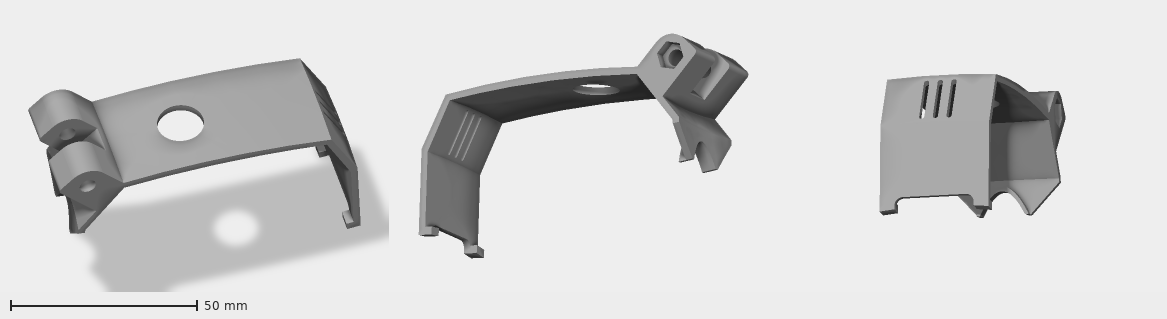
import cadquery as cq
import math

WIDTH = 30.1
HALF_WIDTH = WIDTH / 2
REAR_Y = 42.1
THROUGH = 168.3

REAR_BEND_OUT = (41.15, 24.0)
TOP_BEND_OUT = (33.8, 38.1)
CROWN_OUT = (3.0, 40.5)
FRONT_TOP_OUT = (-24.8, 39.2)
FRONT_BEND_OUT = (-36.9, 24.1)
REAR_BEND_IN = (39.3, 23.0)
TOP_BEND_IN = (32.6, 36.4)
CROWN_IN = (3.0, 38.4)
FRONT_TOP_IN = (-24.15, 37.3)
FRONT_BEND_IN = (-35.0, 23.5)
REAR_THICKNESS = 1.9
LEG_BOTTOM_Z = -0.8
TOOTH_BLANK_Z = 12.6
FRONT_TILT = 6.0

REAR_BEND_SHIFT = (0.25, 0.4)
TOP_BEND_SHIFT = (0.2, 0.5)
CROWN_SHIFT = (0.0, 0.2)
FRONT_TOP_SHIFT = (0.3, -0.25)
FRONT_BEND_SHIFT = (1.3, -0.2)

OPENING_RADIUS = 6.3
OPENING_Y = -3.95

SLOT_LENGTH = 13.1
SLOT_WIDTH = 1.4
SLOT_PITCH = 3.8
SLOT_CENTER = (0, 37.8, 31.2)

PIN_Y = -34.3
PIN_Z = 41.3
LUG_ANGLE = 46.7
LUG_RADIUS = 5.9
LUG_CORNER_RADIUS = 1.3
LUG_ROOT_TOP = 9.7
LUG_ROOT_BOTTOM = 10.9
LUG_GAP = 8.25
PIN_RADIUS = 2.3
NUT_CIRCLE = 8.25
NUT_DEPTH = 3.4

TIP_Y = -36.9
TIP_Z = 14.1
TOOTH_HEIGHT = 8.4
TIP_OUTSIDE_X = 7.2
TIP_INSIDE_X = 6.2
ARCH_HEIGHT = 6.4
LIP_THICKNESS = 1.35
LIP_END = 4.2
LIP_ROOT = 1.5

FOOT_INSIDE_X = 10.9
NOTCH_HEIGHT = 3.95
NOTCH_RADIUS = 2.2
FOOT_END_Y = 38.2
FOOT_THICKNESS = 2.2
FOOT_RISE = 0.4
FOOT_TILT = -4.3


def strap_section(x, amount):
    """Closed strap profile at x; amount is 0 at the side edges and 1 in the middle."""

    def shifted(point, shift):
        return cq.Vector(x, point[0] + amount * shift[0], point[1] + amount * shift[1])

    lean = math.tan(math.radians(FRONT_TILT))
    tooth_out = (FRONT_BEND_OUT[0] - lean * (FRONT_BEND_OUT[1] - TOOTH_BLANK_Z), TOOTH_BLANK_Z)
    tooth_in = (FRONT_BEND_IN[0] - lean * (FRONT_BEND_IN[1] - TOOTH_BLANK_Z), TOOTH_BLANK_Z)

    leg_out = cq.Vector(x, REAR_Y, LEG_BOTTOM_Z)
    rear_out = shifted(REAR_BEND_OUT, REAR_BEND_SHIFT)
    top_out = shifted(TOP_BEND_OUT, TOP_BEND_SHIFT)
    crown_out = shifted(CROWN_OUT, CROWN_SHIFT)
    front_out = shifted(FRONT_TOP_OUT, FRONT_TOP_SHIFT)
    bend_out = shifted(FRONT_BEND_OUT, FRONT_BEND_SHIFT)
    end_out = shifted(tooth_out, FRONT_BEND_SHIFT)
    end_in = shifted(tooth_in, FRONT_BEND_SHIFT)
    bend_in = shifted(FRONT_BEND_IN, FRONT_BEND_SHIFT)
    front_in = shifted(FRONT_TOP_IN, FRONT_TOP_SHIFT)
    crown_in = shifted(CROWN_IN, CROWN_SHIFT)
    top_in = shifted(TOP_BEND_IN, TOP_BEND_SHIFT)
    rear_in = shifted(REAR_BEND_IN, REAR_BEND_SHIFT)
    leg_in = cq.Vector(x, REAR_Y - REAR_THICKNESS, LEG_BOTTOM_Z)

    line = cq.Edge.makeLine
    arc = cq.Edge.makeThreePointArc
    return cq.Wire.assembleEdges([
        line(leg_out, rear_out),
        line(rear_out, top_out),
        arc(top_out, crown_out, front_out),
        line(front_out, bend_out),
        line(bend_out, end_out),
        line(end_out, end_in),
        line(end_in, bend_in),
        line(bend_in, front_in),
        arc(front_in, crown_in, top_in),
        line(top_in, rear_in),
        line(rear_in, leg_in),
        line(leg_in, leg_out),
    ])


def make_strap():
    sections = [
        strap_section(-HALF_WIDTH, 0),
        strap_section(0, 1),
        strap_section(HALF_WIDTH, 0),
    ]
    return cq.Workplane(cq.Solid.makeLoft(sections))


def tilted_plane(y, z, tilt):
    """Workplane facing the front (-Y) and tipped upward by tilt degrees."""
    angle = math.radians(tilt)
    normal = (0, -math.cos(angle), math.sin(angle))
    return cq.Workplane(cq.Plane(origin=(0, y, z), xDir=(1, 0, 0), normal=normal))


def make_tooth_cut():
    """Everything below the two teeth and the parabolic arch between them."""
    return (
        tilted_plane(TIP_Y, TIP_Z, FRONT_TILT)
        .moveTo(-HALF_WIDTH, TOOTH_HEIGHT)
        .lineTo(-TIP_OUTSIDE_X, 0)
        .lineTo(-TIP_INSIDE_X, 0)
        .bezier([(-TIP_INSIDE_X, 0), (0, 2 * ARCH_HEIGHT), (TIP_INSIDE_X, 0)])
        .lineTo(TIP_OUTSIDE_X, 0)
        .lineTo(HALF_WIDTH, TOOTH_HEIGHT)
        .lineTo(HALF_WIDTH, -TOOTH_HEIGHT)
        .lineTo(-HALF_WIDTH, -TOOTH_HEIGHT)
        .close()
        .extrude(TOOTH_HEIGHT, both=True)
    )


def make_arch_lip():
    """Lip standing inward from the front leg along the edge of the arch."""
    lip_peak = ARCH_HEIGHT + LIP_THICKNESS
    return (
        tilted_plane(TIP_Y, TIP_Z, FRONT_TILT)
        .workplane(offset=-LIP_END)
        .moveTo(-TIP_OUTSIDE_X, 0)
        .lineTo(-TIP_INSIDE_X, 0)
        .bezier([(-TIP_INSIDE_X, 0), (0, 2 * ARCH_HEIGHT), (TIP_INSIDE_X, 0)])
        .lineTo(TIP_OUTSIDE_X, 0)
        .bezier([(TIP_OUTSIDE_X, 0), (0, 2 * lip_peak), (-TIP_OUTSIDE_X, 0)])
        .close()
        .extrude(LIP_END - LIP_ROOT)
    )


def make_rear_notch():
    """Notch between the two feet, rounded at its upper corners."""
    return (
        cq.Workplane("XY")
        .box(2 * FOOT_INSIDE_X, 2 * REAR_THICKNESS, 2 * NOTCH_HEIGHT)
        .edges("|Y and >Z")
        .fillet(NOTCH_RADIUS)
        .translate((0, REAR_Y - REAR_THICKNESS / 2, 0))
    )


def foot_prism(side, lower, upper, length):
    """Tilted prism under one side of the rear leg, starting at the foot's free end."""
    outside = side * HALF_WIDTH
    inside = side * FOOT_INSIDE_X
    return (
        tilted_plane(FOOT_END_Y, 0, FOOT_TILT)
        .polyline([
            (outside, lower),
            (inside, lower + FOOT_RISE),
            (inside, upper + FOOT_RISE),
            (outside, upper),
        ])
        .close()
        .extrude(-length)
    )


def lug_point(along, across):
    """(Y, Z) of a point given along the lug (outward) and across it (toward the front)."""
    angle = math.radians(LUG_ANGLE)
    forward = along * math.cos(angle) + across * math.sin(angle)
    upward = along * math.sin(angle) - across * math.cos(angle)
    return (PIN_Y - forward, PIN_Z + upward)


def make_lug():
    crown = LUG_RADIUS * math.sqrt(0.5)
    corner_center = LUG_RADIUS - LUG_CORNER_RADIUS
    corner_mid = corner_center + LUG_CORNER_RADIUS * math.sqrt(0.5)
    return (
        cq.Workplane("YZ", origin=(-HALF_WIDTH, 0, 0))
        .moveTo(*lug_point(-LUG_ROOT_TOP, -LUG_RADIUS))
        .lineTo(*lug_point(0, -LUG_RADIUS))
        .threePointArc(lug_point(crown, -crown), lug_point(LUG_RADIUS, 0))
        .lineTo(*lug_point(LUG_RADIUS, corner_center))
        .threePointArc(lug_point(corner_mid, corner_mid), lug_point(corner_center, LUG_RADIUS))
        .lineTo(*lug_point(-LUG_ROOT_BOTTOM, LUG_RADIUS))
        .close()
        .extrude(WIDTH)
    )


def make_lug_gap():
    """Slot that splits the lug into two ears, with its floor one lug radius below the pin."""
    reach = 2 * LUG_RADIUS
    return (
        cq.Workplane("YZ", origin=(-LUG_GAP / 2, 0, 0))
        .polyline([
            lug_point(-LUG_RADIUS, -reach),
            lug_point(reach, -reach),
            lug_point(reach, reach),
            lug_point(-LUG_RADIUS, reach),
        ])
        .close()
        .extrude(LUG_GAP)
    )


def make_pin_hole():
    """Pin hole through both ears plus a hexagonal nut pocket in the -X ear."""
    face = cq.Workplane("YZ", origin=(-HALF_WIDTH, PIN_Y, PIN_Z))
    hole = face.circle(PIN_RADIUS).extrude(WIDTH)
    nut = (
        face.transformed(rotate=(0, 0, -LUG_ANGLE))
        .polygon(6, NUT_CIRCLE)
        .extrude(NUT_DEPTH)
    )
    return hole.union(nut)


def make_rear_slots():
    """Three slots cut square to the sloping rear wall, running up the slope."""
    slope_y = TOP_BEND_OUT[0] - REAR_BEND_OUT[0]
    slope_z = TOP_BEND_OUT[1] - REAR_BEND_OUT[1]
    plane = cq.Plane(origin=SLOT_CENTER, xDir=(0, slope_y, slope_z), normal=(0, slope_z, -slope_y))
    return (
        cq.Workplane(plane)
        .pushPoints([(0, -SLOT_PITCH), (0, 0), (0, SLOT_PITCH)])
        .slot2D(SLOT_LENGTH, SLOT_WIDTH)
        .extrude(2 * REAR_THICKNESS, both=True)
    )


strap = make_strap().cut(make_tooth_cut()).cut(make_rear_notch())
foot_length = REAR_Y - FOOT_END_Y
for side in (-1, 1):
    strap = strap.cut(foot_prism(side, -FOOT_THICKNESS, 0, 2 * foot_length))
    strap = strap.union(foot_prism(side, 0, FOOT_THICKNESS, foot_length - REAR_THICKNESS / 2))

opening = cq.Workplane("XY").center(0, OPENING_Y).circle(OPENING_RADIUS).extrude(THROUGH)

result = (
    strap.cut(opening)
    .cut(make_rear_slots())
    .union(make_arch_lip())
    .union(make_lug())
    .cut(make_lug_gap())
    .cut(make_pin_hole())
)